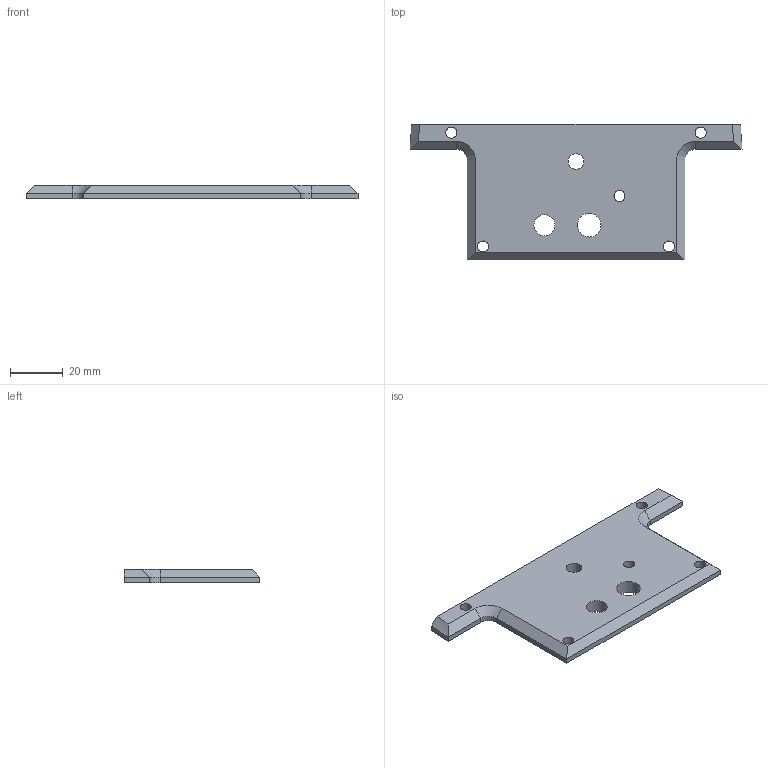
import cadquery as cq

thickness = 5.0
overall_width = 126.05
overall_depth = 51.6
body_width = 82.6
ear_depth = 9.6
ear_end_taper = 0.6
inner_corner_radius = 4.2

rim_height = 2.0
bevel_height = thickness - rim_height
bevel_width = 3.1
front_bevel_width = 2.8

screw_diameter = 4.2
ear_screw_x = 47.3
ear_screw_y = -3.3
front_screw_x = 35.3
front_screw_y = -46.5
panel_holes = [
    (0.0, -14.2, 6.0),
    (16.5, -27.3, screw_diameter),
    (5.0, -38.4, 9.0),
    (-12.0, -38.4, 8.0),
]


def outline(plane, inset, front_inset):
    """Plate outline drawn on a plane, pulled in from every edge but the back one."""
    half_front = overall_width / 2 - inset
    half_back = half_front - ear_end_taper
    half_body = body_width / 2 - inset
    ear_y = -ear_depth + inset
    front_y = -overall_depth + front_inset
    radius = inner_corner_radius + inset
    diagonal = radius * (1 - 0.5 ** 0.5)
    return (
        plane.moveTo(-half_back, 0)
        .lineTo(-half_front, ear_y)
        .lineTo(-half_body - radius, ear_y)
        .threePointArc((-half_body - diagonal, ear_y - diagonal), (-half_body, ear_y - radius))
        .lineTo(-half_body, front_y)
        .lineTo(half_body, front_y)
        .lineTo(half_body, ear_y - radius)
        .threePointArc((half_body + diagonal, ear_y - diagonal), (half_body + radius, ear_y))
        .lineTo(half_front, ear_y)
        .lineTo(half_back, 0)
        .close()
    )


def make_plate():
    rim = outline(cq.Workplane("XY"), 0, 0).extrude(rim_height)
    bevel_base = outline(cq.Workplane("XY").workplane(offset=rim_height), 0, 0)
    bevel = outline(bevel_base.workplane(offset=bevel_height), bevel_width, front_bevel_width).loft(ruled=True)
    return rim.union(bevel)


def drill(plate, points, diameter):
    cutter = cq.Workplane("XY").pushPoints(points).circle(diameter / 2).extrude(thickness)
    return plate.cut(cutter)


result = make_plate()
screw_points = [
    (side * x, y)
    for side in (-1, 1)
    for x, y in ((ear_screw_x, ear_screw_y), (front_screw_x, front_screw_y))
]
result = drill(result, screw_points, screw_diameter)
for hole_x, hole_y, hole_diameter in panel_holes:
    result = drill(result, [(hole_x, hole_y)], hole_diameter)